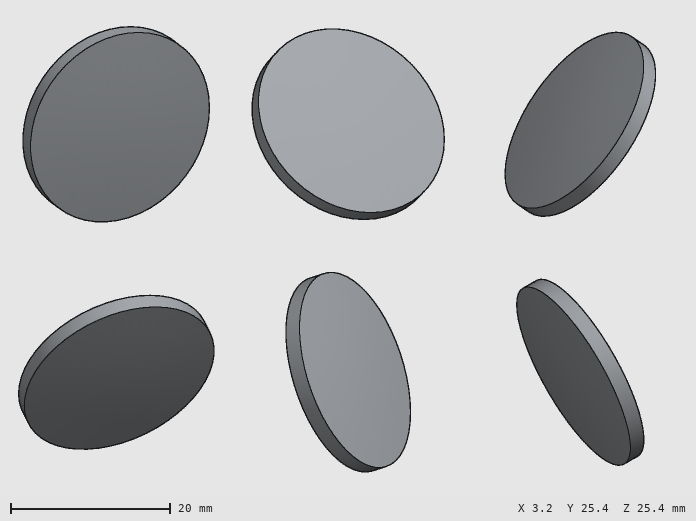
import cadquery as cq

diameter = 25.4
centre_thickness = 3.2
edge_thickness = 2.05

radius = diameter / 2
half_centre = centre_thickness / 2
half_edge = edge_thickness / 2

face_rise = half_centre - half_edge
face_radius = (radius**2 + face_rise**2) / (2 * face_rise)

mid_height = radius / 2
mid_x = half_centre - face_radius + (face_radius**2 - mid_height**2) ** 0.5

half_section = (
    cq.Workplane("XY")
    .moveTo(-half_centre, 0)
    .threePointArc((-mid_x, mid_height), (-half_edge, radius))
    .lineTo(half_edge, radius)
    .threePointArc((mid_x, mid_height), (half_centre, 0))
    .close()
)

result = half_section.revolve(360, (0, 0, 0), (1, 0, 0))